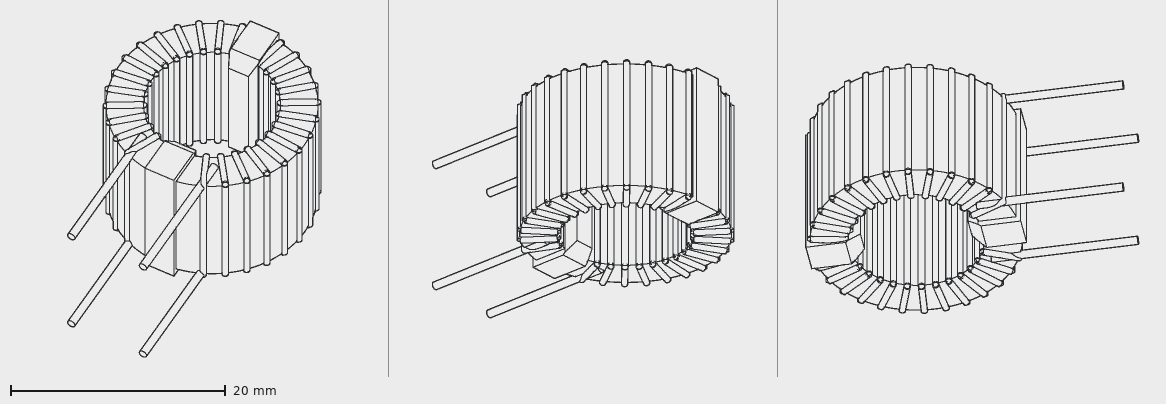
import cadquery as cq

core_outer_radius = 9.88
core_inner_radius = 6.37
core_height = 12.75

wire_diameter = 0.6
turn_outer_radius = 9.85
turn_inner_radius = 6.37
last_turn_inner_radius = 6.52
turn_height = 13.05
turn_pitch = 12.0
turns_per_side = 13
first_turn_angle = -66.0

block_width = 3.08
block_height = 13.95
block_outer_y = 10.18
block_shoulder_y = 6.4
nose_taper_y = 6.15
nose_tip_y = 5.1
nose_tip_width = 2.13
nose_drop = 1.25

lead_diameter = 0.8
lead_spacing_x = 7.62
lead_spacing_z = 12.68
lead_start_y = -6.43
overall_length_y = 30.48
lead_end_y = block_outer_y - overall_length_y


def make_core():
    return (
        cq.Workplane("XY")
        .circle(core_outer_radius)
        .circle(core_inner_radius)
        .extrude(core_height / 2, both=True)
    )


def make_turn(inner_radius):
    """One closed rectangular wire loop with rounded corners, lying in the XZ plane at +X."""
    mid_radius = (turn_outer_radius + inner_radius) / 2
    path = (
        cq.Workplane("XZ")
        .moveTo(mid_radius, turn_height / 2)
        .lineTo(turn_outer_radius, turn_height / 2)
        .lineTo(turn_outer_radius, -turn_height / 2)
        .lineTo(inner_radius, -turn_height / 2)
        .lineTo(inner_radius, turn_height / 2)
        .close()
    )
    return (
        cq.Workplane("YZ", origin=(mid_radius, 0, turn_height / 2))
        .circle(wire_diameter / 2)
        .sweep(path, transition="round")
    )


def make_block():
    """Separator at +Y: a straight outer part and a nose narrowing toward the bore centre."""
    half_width = block_width / 2
    half_tip_width = nose_tip_width / 2
    half_height = block_height / 2
    half_tip_height = half_height - nose_drop
    plan = (
        cq.Workplane("XY")
        .polyline([
            (-half_width, block_outer_y),
            (half_width, block_outer_y),
            (half_width, nose_taper_y),
            (half_tip_width, nose_tip_y),
            (-half_tip_width, nose_tip_y),
            (-half_width, nose_taper_y),
        ])
        .close()
        .extrude(half_height, both=True)
    )
    side_profile = (
        cq.Workplane("YZ")
        .polyline([
            (block_outer_y, -half_height),
            (block_outer_y, half_height),
            (block_shoulder_y, half_height),
            (nose_tip_y, half_tip_height),
            (nose_tip_y, -half_tip_height),
            (block_shoulder_y, -half_height),
        ])
        .close()
        .extrude(half_width, both=True)
    )
    return plan.intersect(side_profile)


def make_leads():
    return (
        cq.Workplane("XZ", origin=(0, lead_start_y, 0))
        .rarray(lead_spacing_x, lead_spacing_z, 2, 2)
        .circle(lead_diameter / 2)
        .extrude(lead_start_y - lead_end_y)
    )


result = make_core()

turn = make_turn(turn_inner_radius)
last_turn = make_turn(last_turn_inner_radius)
for index in range(turns_per_side):
    wire = last_turn if index == turns_per_side - 1 else turn
    angle = first_turn_angle + index * turn_pitch
    for side_angle in (angle, 180 - angle):
        result = result.union(wire.rotate((0, 0, 0), (0, 0, 1), side_angle))

block = make_block()
result = result.union(block).union(block.mirror("XZ")).union(make_leads())